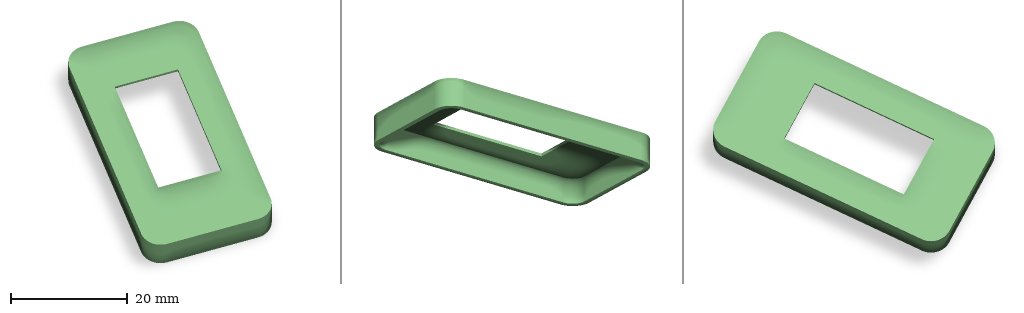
import cadquery as cq

length = 45.0
width = 23.5
height = 5.2
corner_radius = 3.5

wall = 1.0
top_thickness = 0.55

window_length = 23.0
window_width = 11.48
window_offset_x = -1.0


def make_body():
    """Flat block with rounded vertical corners, resting on Z = 0."""
    return (
        cq.Workplane("XY")
        .rect(length, width)
        .extrude(height)
        .edges("|Z")
        .fillet(corner_radius)
    )


def make_cavity():
    """Pocket that leaves an even side wall and a thin top plate."""
    return (
        cq.Workplane("XY")
        .rect(length - 2 * wall, width - 2 * wall)
        .extrude(height - top_thickness)
        .edges("|Z")
        .fillet(corner_radius - wall)
    )


def make_window():
    """Rectangular cutter, shifted toward -X, through the full height."""
    return (
        cq.Workplane("XY")
        .center(window_offset_x, 0)
        .rect(window_length, window_width)
        .extrude(height)
    )


result = make_body().cut(make_cavity()).cut(make_window())